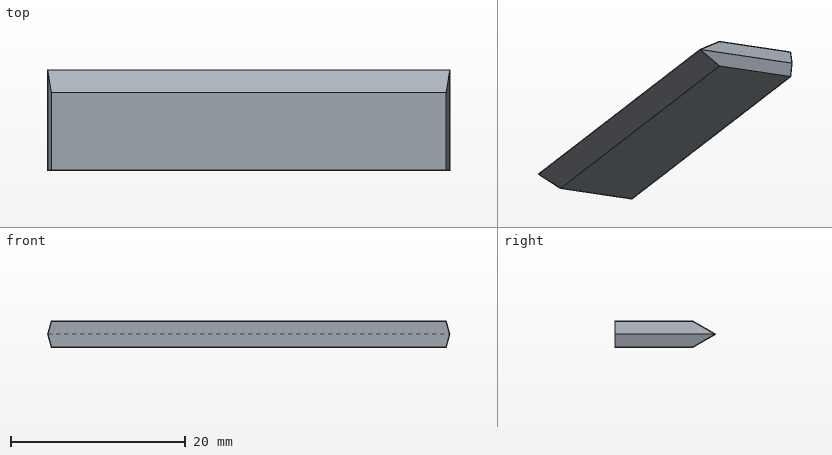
import cadquery as cq
import math

length = 46.0
width = 11.5
thickness = 3.0
edge_half_angle = 30.0
end_ridge = 0.4

half_length = length / 2
half_width = width / 2
half_thickness = thickness / 2
bevel_run = half_thickness / math.tan(math.radians(edge_half_angle))

bar = (
    cq.Workplane("YZ")
    .polyline([
        (-half_width, -half_thickness),
        (half_width - bevel_run, -half_thickness),
        (half_width, 0),
        (half_width - bevel_run, half_thickness),
        (-half_width, half_thickness),
    ])
    .close()
    .extrude(half_length, both=True)
)

flat_end = half_length - end_ridge
end_outline = (
    cq.Workplane("XZ")
    .polyline([
        (-flat_end, -half_thickness),
        (flat_end, -half_thickness),
        (half_length, 0),
        (flat_end, half_thickness),
        (-flat_end, half_thickness),
        (-half_length, 0),
    ])
    .close()
    .extrude(half_width, both=True)
)

result = bar.intersect(end_outline)